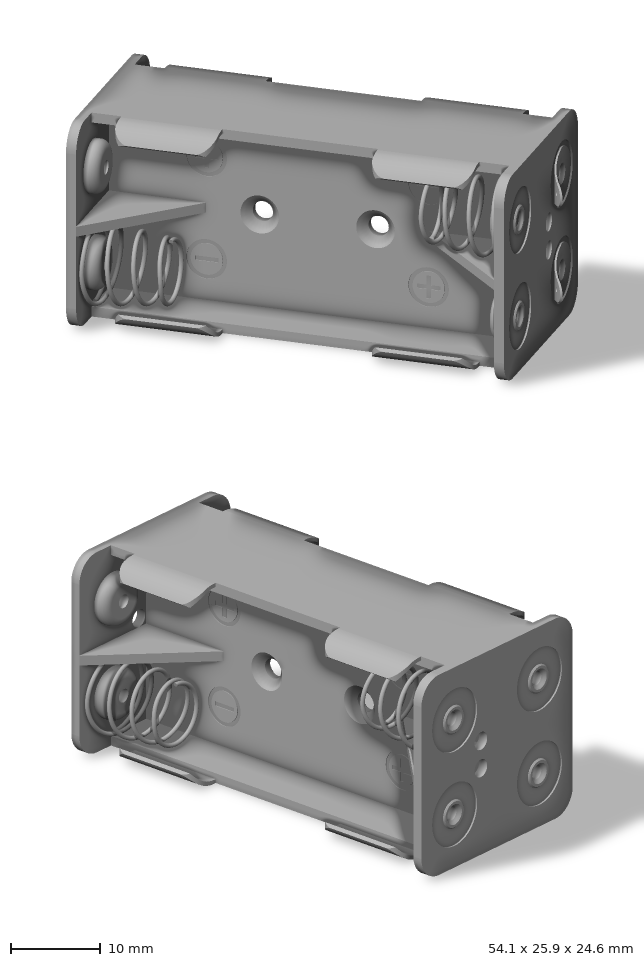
import cadquery as cq
import math


OVERALL_LENGTH = 54.05
HOUSING_LENGTH = 51.5
HOUSING_WIDTH = 25.85
HOUSING_HEIGHT = 24.55
WALL = 1.2
END_CORNER_RADIUS = 2.95
PLATE_WIDTH = 15.0
WEB_THICKNESS = 3.0

HALF_LENGTH = HOUSING_LENGTH / 2
HALF_HEIGHT = HOUSING_HEIGHT / 2
INNER_HALF_LENGTH = HALF_LENGTH - WALL
WEB_FACE = WEB_THICKNESS / 2
RIB_REACH = HOUSING_WIDTH / 2 - WEB_FACE

TAB_START = 4.7
TAB_LENGTH = 11.9
TAB_RADIUS = 4.3
TAB_THICKNESS = 0.5
TAB_ANGLE = 55.0
TAB_CURL_Y = 7.85
TAB_CORNER_RADIUS = 2.0

SCREW_HOLE_X = 6.8
SCREW_HOLE_RADIUS = 1.2
SCREW_HEAD_RADIUS = 2.25
WIRE_HOLE_RADIUS = 1.1
WIRE_HOLE_Y = 2.75
WIRE_HOLE_Z = WALL / 2 + WIRE_HOLE_RADIUS

MARK_X = HALF_LENGTH - 12.7
MARK_Z = 6.15
MARK_DEPTH = 0.1
MARK_RING_OUTER = 2.4
MARK_RING_INNER = 1.9
MARK_BAR_LENGTH = 2.75
MARK_BAR_WIDTH = 0.55

CONTACT_Y = 7.25
CONTACT_Z = 5.8
RECESS_RADIUS = 3.85
RECESS_DEPTH = 0.2
DOME_RADIUS = 3.15
DOME_HEIGHT = 1.6
DOME_ROUNDING = 1.0
SHANK_RADIUS = 1.75
SHANK_CHAMFER = 0.15
EYE_RADIUS = 0.8
EYE_FLARE_RADIUS = 1.25

WIRE_RADIUS = 0.25
SPRING_BASE_RADIUS = 4.7
SPRING_TIP_RADIUS = 3.6
SPRING_PITCH = 2.95
SPRING_TURNS = 3
FLAT_TURNS = 0.75
SPRING_CLEARANCE = 0.05
POINTS_PER_TURN = 12
FOOT_RADIUS = 0.2
FOOT_DEPTH = 0.45

LUG_TIP_RADIUS = 1.4
LUG_HOLE_RADIUS = 0.25
LUG_STRIP_ANGLE = 45.0

X_AXIS = (1, 0, 0)
Y_AXIS = (0, 1, 0)
Z_AXIS = (0, 0, 1)
END_FACE = -HALF_LENGTH
WALL_FACE = -INNER_HALF_LENGTH


def turned(shape, axis):
    """The shape turned half a revolution about an axis through the origin."""
    return shape.rotate((0, 0, 0), axis, 180)


def turned_copies(shape):
    """The shape and its half-turn copies about the X, Y and Z axes."""
    return [shape] + [turned(shape, axis) for axis in (X_AXIS, Y_AXIS, Z_AXIS)]


def mirrored_copies(shape):
    """The shape and its mirror images in the three main planes, eight in all."""
    copies = [shape]
    for plane in ("XY", "XZ", "YZ"):
        copies += [copy.mirror(plane) for copy in copies]
    return copies


def rod_x(radius, start, end, y=0.0, z=0.0):
    """A cylinder along X between two X positions."""
    return cq.Workplane("YZ", origin=(start, y, z)).circle(radius).extrude(end - start)


def end_wall():
    wall = cq.Workplane("XY").box(WALL, HOUSING_WIDTH, HOUSING_HEIGHT)
    wall = wall.edges("|X").fillet(END_CORNER_RADIUS)
    return wall.translate((WALL_FACE - WALL / 2, 0, 0))


def plates_and_web():
    span = 2 * INNER_HALF_LENGTH
    body = cq.Workplane("XY").box(span, WEB_THICKNESS, HOUSING_HEIGHT)
    plate = cq.Workplane("XY").box(span, PLATE_WIDTH, WALL)
    for side in (-1, 1):
        body = body.union(plate.translate((0, 0, side * (HALF_HEIGHT - WALL / 2))))
    return body


def rib():
    """Triangular shelf between the -X end wall and the web, on the -Y side."""
    return (
        cq.Workplane("XY", origin=(0, 0, -WALL / 2))
        .moveTo(WALL_FACE, -WEB_FACE)
        .lineTo(WALL_FACE, -WEB_FACE - RIB_REACH)
        .lineTo(WALL_FACE + RIB_REACH, -WEB_FACE)
        .close()
        .extrude(WALL)
    )


def tab():
    """Curled tab on the +Y edge of the top plate near the -X end."""
    curl_z = HALF_HEIGHT - TAB_RADIUS
    inner_radius = TAB_RADIUS - TAB_THICKNESS

    def on_curl(radius, angle):
        turn = math.radians(angle)
        return (TAB_CURL_Y + radius * math.sin(turn), curl_z + radius * math.cos(turn))

    root_y = PLATE_WIDTH / 2 - TAB_THICKNESS
    tip_y, _ = on_curl(TAB_RADIUS, TAB_ANGLE)
    curl = (
        cq.Workplane("YZ", origin=(END_FACE + TAB_START, 0, 0))
        .moveTo(root_y, HALF_HEIGHT)
        .lineTo(*on_curl(TAB_RADIUS, 0))
        .threePointArc(on_curl(TAB_RADIUS, TAB_ANGLE / 2), on_curl(TAB_RADIUS, TAB_ANGLE))
        .lineTo(*on_curl(inner_radius, TAB_ANGLE))
        .threePointArc(on_curl(inner_radius, TAB_ANGLE / 2), on_curl(inner_radius, 0))
        .lineTo(root_y, HALF_HEIGHT - TAB_THICKNESS)
        .close()
        .extrude(TAB_LENGTH)
    )
    rounded_outline = (
        cq.Workplane("XY")
        .box(TAB_LENGTH, tip_y, HALF_HEIGHT, centered=False)
        .edges("|Z and >Y")
        .fillet(TAB_CORNER_RADIUS)
        .translate((END_FACE + TAB_START, 0, 0))
    )
    return curl.intersect(rounded_outline)


def screw_hole():
    """Hole through the web, countersunk at 90 degrees from both sides."""
    head_depth = SCREW_HEAD_RADIUS - SCREW_HOLE_RADIUS
    half_profile = [
        (0, 0),
        (SCREW_HOLE_RADIUS, 0),
        (SCREW_HOLE_RADIUS, WEB_FACE - head_depth),
        (SCREW_HEAD_RADIUS, WEB_FACE),
        (0, WEB_FACE),
    ]
    half = cq.Workplane("XY").polyline(half_profile).close().revolve(360, (0, 0, 0), Y_AXIS)
    return half.union(half.mirror("XZ"))


def polarity_mark(positive):
    """Ring and sign, sunk into the -Y face of the web at the origin's X and Z."""
    face = cq.Workplane("XZ", origin=(0, MARK_DEPTH - WEB_FACE, 0))
    mark = face.circle(MARK_RING_OUTER).circle(MARK_RING_INNER).extrude(MARK_DEPTH)
    mark = mark.union(face.rect(MARK_BAR_LENGTH, MARK_BAR_WIDTH).extrude(MARK_DEPTH))
    if positive:
        mark = mark.union(face.rect(MARK_BAR_WIDTH, MARK_BAR_LENGTH).extrude(MARK_DEPTH))
    return mark


def bare_housing():
    body = plates_and_web()
    for wall in (end_wall(), turned(end_wall(), Z_AXIS)):
        body = body.union(wall)
    for shelf in turned_copies(rib()):
        body = body.union(shelf)
    for curl in mirrored_copies(tab()):
        body = body.union(curl)

    for x in (-SCREW_HOLE_X, SCREW_HOLE_X):
        body = body.cut(screw_hole().translate((x, 0, 0)))
    for z in (-WIRE_HOLE_Z, WIRE_HOLE_Z):
        body = body.cut(rod_x(WIRE_HOLE_RADIUS, -HALF_LENGTH, HALF_LENGTH, WIRE_HOLE_Y, z))
    for y in (-CONTACT_Y, CONTACT_Y):
        for z in (-CONTACT_Z, CONTACT_Z):
            recess = rod_x(RECESS_RADIUS, END_FACE, END_FACE + RECESS_DEPTH, y, z)
            body = body.cut(recess).cut(recess.mirror("YZ"))
            body = body.cut(rod_x(SHANK_RADIUS, -HALF_LENGTH, HALF_LENGTH, y, z))

    plus = polarity_mark(True).translate((-MARK_X, 0, MARK_Z))
    minus = polarity_mark(False).translate((-MARK_X, 0, -MARK_Z))
    for mark in turned_copies(plus) + turned_copies(minus):
        body = body.cut(mark)
    return body


def rivet(blind, lugged):
    """Domed button on the inside of the wall, its shank and its eye."""
    dome = rod_x(DOME_RADIUS, WALL, WALL + DOME_HEIGHT).faces(">X").edges().fillet(DOME_ROUNDING)
    shank = rod_x(SHANK_RADIUS, 0, WALL)
    if not lugged:
        shank = shank.faces("<X").edges().chamfer(SHANK_CHAMFER)
    body = dome.union(shank)

    flare_depth = EYE_FLARE_RADIUS - EYE_RADIUS
    flare = cq.Workplane("XY").add(
        cq.Solid.makeCone(EYE_FLARE_RADIUS, EYE_RADIUS, flare_depth, dir=cq.Vector(1, 0, 0))
    )
    eye_start = flare_depth + RECESS_DEPTH if blind else 0
    return body.cut(flare).cut(rod_x(EYE_RADIUS, eye_start, WALL + DOME_HEIGHT))


def lug():
    """Flat plate in the recess with a tongue that curls away from the wall toward Y = 0."""
    reach = OVERALL_LENGTH - HOUSING_LENGTH
    inner_radius = (CONTACT_Y**2 + reach**2) / (2 * reach)
    outer_radius = inner_radius + RECESS_DEPTH

    def on_curl(radius, angle):
        turn = math.radians(angle)
        return (radius * math.cos(turn) - inner_radius, radius * math.sin(turn))

    strip = (
        cq.Workplane("XY", origin=(0, 0, -DOME_RADIUS))
        .moveTo(0, -DOME_RADIUS)
        .lineTo(0, 0)
        .threePointArc(on_curl(inner_radius, LUG_STRIP_ANGLE / 2), on_curl(inner_radius, LUG_STRIP_ANGLE))
        .lineTo(*on_curl(outer_radius, LUG_STRIP_ANGLE))
        .threePointArc(on_curl(outer_radius, LUG_STRIP_ANGLE / 2), on_curl(outer_radius, 0))
        .lineTo(RECESS_DEPTH, -DOME_RADIUS)
        .close()
        .extrude(2 * DOME_RADIUS)
    )
    tip_centre = CONTACT_Y - LUG_TIP_RADIUS
    outline = (
        cq.Workplane("YZ", origin=(-2 * reach, 0, 0))
        .moveTo(0, -DOME_RADIUS)
        .lineTo(tip_centre, -LUG_TIP_RADIUS)
        .threePointArc((CONTACT_Y, 0), (tip_centre, LUG_TIP_RADIUS))
        .lineTo(0, DOME_RADIUS)
        .threePointArc((-DOME_RADIUS, 0), (0, -DOME_RADIUS))
        .close()
        .extrude(2 * reach + RECESS_DEPTH)
    )
    lug_hole = rod_x(LUG_HOLE_RADIUS, -2 * reach, RECESS_DEPTH, tip_centre)
    eye_hole = rod_x(EYE_FLARE_RADIUS, -reach, RECESS_DEPTH)
    return strip.intersect(outline).cut(lug_hole).cut(eye_hole)


def spring():
    """Conical coil around X whose flat base coil lies just clear of the wall."""
    total_turns = SPRING_TURNS + 2 * FLAT_TURNS

    def wire_point(turn):
        risen = min(max(turn - FLAT_TURNS, 0), SPRING_TURNS)
        radius = SPRING_BASE_RADIUS + (SPRING_TIP_RADIUS - SPRING_BASE_RADIUS) * risen / SPRING_TURNS
        angle = 2 * math.pi * (turn - FLAT_TURNS)
        x = WALL + SPRING_CLEARANCE + WIRE_RADIUS + SPRING_PITCH * risen
        return cq.Vector(x, -radius * math.cos(angle), -radius * math.sin(angle))

    count = round(total_turns * POINTS_PER_TURN)
    points = [wire_point(total_turns * i / count) for i in range(count + 1)]
    path = cq.Workplane("XY").spline(points)
    start = cq.Plane(origin=points[0], xDir=X_AXIS, normal=points[1] - points[0])
    return cq.Workplane(start).circle(WIRE_RADIUS).sweep(path, isFrenet=True)


def spring_foot():
    """Rod inside the wall that runs from the shank to the base coil, with a post up to the wire."""
    rod = (
        cq.Workplane("XY", origin=(WALL - FOOT_DEPTH, 0, EYE_FLARE_RADIUS))
        .circle(FOOT_RADIUS)
        .extrude(SPRING_BASE_RADIUS + FOOT_RADIUS - EYE_FLARE_RADIUS)
    )
    post = rod_x(FOOT_RADIUS, WALL - FOOT_DEPTH, WALL + WIRE_RADIUS, 0, SPRING_BASE_RADIUS)
    return rod.union(post)


def seated(body, z):
    """The body moved to its place in the -X end wall, on the -Y side at height z."""
    return body.translate((END_FACE, -CONTACT_Y, z))


def contact_family(z, sprung):
    """A contact on the -Y side at -X and height z, and its half-turn copies at the other corners."""

    def contact(body):
        if sprung:
            body = body.union(coil).union(spring_foot())
        return seated(body, z)

    coil = spring() if sprung else None
    plain = contact(rivet(blind=False, lugged=False))
    opposite = contact(rivet(blind=sprung, lugged=False))
    wired = contact(rivet(blind=False, lugged=True).union(lug()))
    return [plain, turned(plain, X_AXIS), turned(opposite, Y_AXIS), turned(wired, Z_AXIS)]


housing = bare_housing()
for foot in turned_copies(seated(spring_foot(), -CONTACT_Z)):
    housing = housing.cut(foot)

sprung_contacts = contact_family(-CONTACT_Z, sprung=True)
plain_contacts = contact_family(CONTACT_Z, sprung=False)
contacts = sprung_contacts + plain_contacts

result = cq.Compound.makeCompound([housing.val(), *[contact.val() for contact in contacts]])